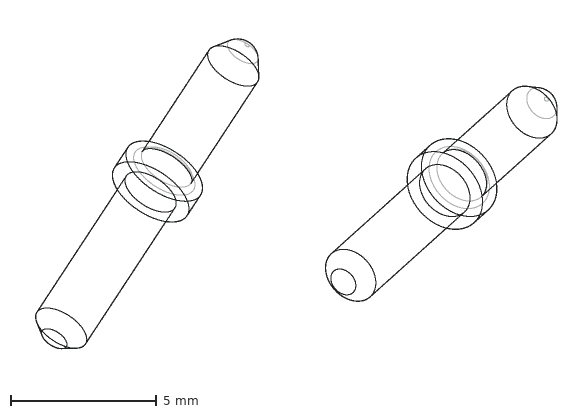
import cadquery as cq
import math

length = 14.0
collar_diameter = 3.0
collar_width = 1.0
pin_diameter = 2.0
front_chamfer = 0.5
tip_length = 1.0
tip_half_angle = 30.0
nose_radius = 0.6
collar_fillet = 0.2

front_end = -length / 2
back_end = length / 2
collar_front = 0.0
collar_back = collar_front + collar_width
tip_start = back_end - tip_length

pin_radius = pin_diameter / 2
collar_radius = collar_diameter / 2

tip_angle = math.radians(tip_half_angle)
sharp_tip_radius = pin_radius - tip_length * math.tan(tip_angle)
nose_sweep = math.pi / 2 - tip_angle
nose_flat_radius = sharp_tip_radius - nose_radius * math.tan(nose_sweep / 2)


def nose_point(angle):
    """Point on the nose arc, with the angle measured from the pin axis."""
    radius = nose_flat_radius + nose_radius * math.sin(angle)
    position = back_end - nose_radius * (1 - math.cos(angle))
    return radius, position


fillet_middle = collar_fillet * (1 - math.sqrt(0.5))

profile = (
    cq.Workplane("XY")
    .moveTo(0, front_end)
    .lineTo(pin_radius - front_chamfer, front_end)
    .lineTo(pin_radius, front_end + front_chamfer)
    .lineTo(pin_radius, collar_front)
    .lineTo(collar_radius, collar_front)
    .lineTo(collar_radius, collar_back)
    .lineTo(pin_radius + collar_fillet, collar_back)
    .threePointArc(
        (pin_radius + fillet_middle, collar_back + fillet_middle),
        (pin_radius, collar_back + collar_fillet),
    )
    .lineTo(pin_radius, tip_start)
    .lineTo(*nose_point(nose_sweep))
    .threePointArc(nose_point(nose_sweep / 2), nose_point(0))
    .lineTo(0, back_end)
    .close()
)

result = profile.revolve(360, (0, 0, 0), (0, 1, 0))